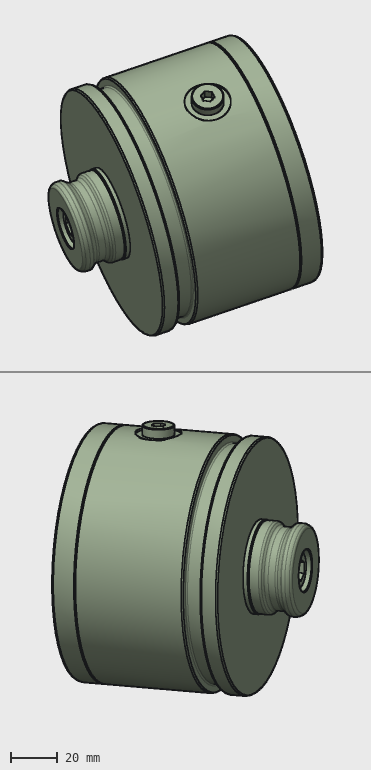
import cadquery as cq
import math


body_diameter = 112.0
body_length = 75.0
edge_length = 0.8
edge_depth = 0.5
cover_thickness = 10.0
flange_thickness = 8.0
groove_width = 7.6
groove_floor_diameter = 104.0
groove_floor_fillet = 0.7

stub_length = 21.6
collar_diameter = 41.0
collar_length = 2.0
stub_diameter = 40.6
stub_chamfer_length = 0.7
stub_chamfer_depth = 0.5
waist_diameter = 36.4
shoulder_end = 6.8
shoulder_fillet = 1.6
back_slope = 45
back_waist_fillet = 2.3
waist_end = 13.6
front_waist_fillet = 2.0
front_slope = 38
crest_fillet = 0.5
nose_start = 18.7
nose_curve = 3.2
nose_kink = 20.5
face_diameter = 36.7

bore_diameter = 18.1
bore_chamfer = 0.4
bore_depth = 12.0
screw_head_diameter = 16.0
screw_head_recess = 2.1
screw_head_fillet = 1.0
screw_hex_flats = 8.3
screw_hex_depth = 5.3

knob_y = 45.0
seat_diameter = 20.0
seat_depth = 1.0
knob_diameter = 14.0
overall_height = 115.3
knob_top = overall_height - body_diameter / 2
knob_chamfer = 0.4
knob_hex_flats = 5.2
knob_hex_depth = 4.0

HEX_CORNER_RATIO = 2 / math.sqrt(3)


def revolve_about_y(outline):
    return outline.close().revolve(360, (0, 0, 0), (0, 1, 0))


def make_body():
    radius = body_diameter / 2
    edge_radius = radius - edge_depth
    floor_radius = groove_floor_diameter / 2
    groove_front = flange_thickness
    groove_back = groove_front + groove_width
    seam = body_length - cover_thickness
    fillet_mid = groove_floor_fillet * (1 - math.sqrt(0.5))
    outline = (
        cq.Workplane("XY")
        .moveTo(0, 0)
        .lineTo(edge_radius, 0)
        .lineTo(radius, edge_length)
        .lineTo(radius, groove_front - edge_length)
        .lineTo(edge_radius, groove_front)
        .lineTo(floor_radius + groove_floor_fillet, groove_front)
        .threePointArc(
            (floor_radius + fillet_mid, groove_front + fillet_mid),
            (floor_radius, groove_front + groove_floor_fillet),
        )
        .lineTo(floor_radius, groove_back - groove_floor_fillet)
        .threePointArc(
            (floor_radius + fillet_mid, groove_back - fillet_mid),
            (floor_radius + groove_floor_fillet, groove_back),
        )
        .lineTo(edge_radius, groove_back)
        .lineTo(radius, groove_back + edge_length)
        .lineTo(radius, seam - edge_length)
        .lineTo(edge_radius, seam)
        .lineTo(radius, seam)
        .lineTo(radius, body_length - edge_length)
        .lineTo(edge_radius, body_length)
        .lineTo(0, body_length)
    )
    return revolve_about_y(outline)


def arc_drop(radius, degrees):
    """Sideways travel of an arc that starts along the axis and turns by the given angle."""
    return radius * (1 - math.cos(math.radians(degrees)))


def arc_run(radius, degrees):
    """Axial travel of the same arc."""
    return radius * math.sin(math.radians(degrees))


def make_stub():
    radius = stub_diameter / 2
    collar_radius = collar_diameter / 2
    waist_radius = waist_diameter / 2
    chamfer_radius = radius - stub_chamfer_depth

    cone_top_radius = radius - arc_drop(shoulder_fillet, back_slope)
    cone_top = shoulder_end + arc_run(shoulder_fillet, back_slope)
    cone_foot_radius = waist_radius + arc_drop(back_waist_fillet, back_slope)
    cone_foot = cone_top + (cone_top_radius - cone_foot_radius) / math.tan(math.radians(back_slope))
    waist_start = cone_foot + arc_run(back_waist_fillet, back_slope)

    rise_radius = waist_radius + arc_drop(front_waist_fillet, front_slope)
    rise_start = waist_end + arc_run(front_waist_fillet, front_slope)
    rise_end_radius = radius - arc_drop(crest_fillet, front_slope)
    rise_end = rise_start + (rise_end_radius - rise_radius) / math.tan(math.radians(front_slope))
    crest = rise_end + arc_run(crest_fillet, front_slope)

    nose_turn = math.degrees(math.asin((nose_kink - nose_start) / nose_curve))
    kink_radius = radius - arc_drop(nose_curve, nose_turn)
    face_radius = face_diameter / 2
    bend_width = kink_radius - face_radius
    bend_length = stub_length - nose_kink
    bend_curve = (bend_width**2 + bend_length**2) / (2 * bend_length)
    half_turn = math.degrees(math.asin(bend_width / bend_curve)) / 2
    bend_radius = face_radius + arc_run(bend_curve, half_turn)
    bend = stub_length - arc_drop(bend_curve, half_turn)

    outline = (
        cq.Workplane("XY")
        .moveTo(0, 0)
        .lineTo(collar_radius, 0)
        .lineTo(collar_radius, -collar_length)
        .lineTo(chamfer_radius, -collar_length)
        .lineTo(radius, -collar_length - stub_chamfer_length)
        .lineTo(radius, -shoulder_end)
        .threePointArc(
            (
                radius - arc_drop(shoulder_fillet, back_slope / 2),
                -shoulder_end - arc_run(shoulder_fillet, back_slope / 2),
            ),
            (cone_top_radius, -cone_top),
        )
        .lineTo(cone_foot_radius, -cone_foot)
        .threePointArc(
            (
                waist_radius + arc_drop(back_waist_fillet, back_slope / 2),
                -waist_start + arc_run(back_waist_fillet, back_slope / 2),
            ),
            (waist_radius, -waist_start),
        )
        .lineTo(waist_radius, -waist_end)
        .threePointArc(
            (
                waist_radius + arc_drop(front_waist_fillet, front_slope / 2),
                -waist_end - arc_run(front_waist_fillet, front_slope / 2),
            ),
            (rise_radius, -rise_start),
        )
        .lineTo(rise_end_radius, -rise_end)
        .threePointArc(
            (
                radius - arc_drop(crest_fillet, front_slope / 2),
                -crest + arc_run(crest_fillet, front_slope / 2),
            ),
            (radius, -crest),
        )
        .lineTo(radius, -nose_start)
        .threePointArc(
            (
                radius - arc_drop(nose_curve, nose_turn / 2),
                -nose_start - arc_run(nose_curve, nose_turn / 2),
            ),
            (kink_radius, -nose_kink),
        )
        .threePointArc((bend_radius, -bend), (face_radius, -stub_length))
        .lineTo(0, -stub_length)
    )
    return revolve_about_y(outline)


def front_plane(y):
    """Sketch plane facing -Y at the given station."""
    return cq.Workplane("XZ", origin=(0, y, 0))


def cut_screw_bore(part):
    bore_floor = -stub_length + bore_depth
    bore = front_plane(bore_floor).circle(bore_diameter / 2).extrude(bore_depth)
    mouth = (
        front_plane(-stub_length)
        .circle(bore_diameter / 2 + bore_chamfer)
        .extrude(-bore_chamfer, taper=45)
    )
    return part.cut(bore).cut(mouth)


def make_screw_head():
    bore_floor = -stub_length + bore_depth
    head = (
        front_plane(bore_floor)
        .circle(screw_head_diameter / 2)
        .extrude(bore_depth - screw_head_recess)
        .faces("<Y")
        .edges()
        .fillet(screw_head_fillet)
    )
    socket = (
        front_plane(-stub_length + screw_head_recess)
        .transformed(rotate=(0, 0, 90))
        .polygon(6, screw_hex_flats * HEX_CORNER_RATIO)
        .extrude(-screw_hex_depth)
    )
    return head.cut(socket)


def add_knob(part):
    seat_z = body_diameter / 2 - seat_depth
    seat_center = cq.Workplane("XY", origin=(0, knob_y, seat_z))
    knob_height = knob_top - seat_z
    seat = seat_center.circle(seat_diameter / 2).extrude(knob_height)
    knob = (
        seat_center.circle(knob_diameter / 2)
        .extrude(knob_height)
        .faces(">Z")
        .edges()
        .chamfer(knob_chamfer)
    )
    socket = (
        cq.Workplane("XY", origin=(0, knob_y, knob_top))
        .polygon(6, knob_hex_flats * HEX_CORNER_RATIO)
        .extrude(-knob_hex_depth)
    )
    return part.cut(seat).union(knob).cut(socket)


result = make_body().union(make_stub())
result = cut_screw_bore(result).union(make_screw_head())
result = add_knob(result)